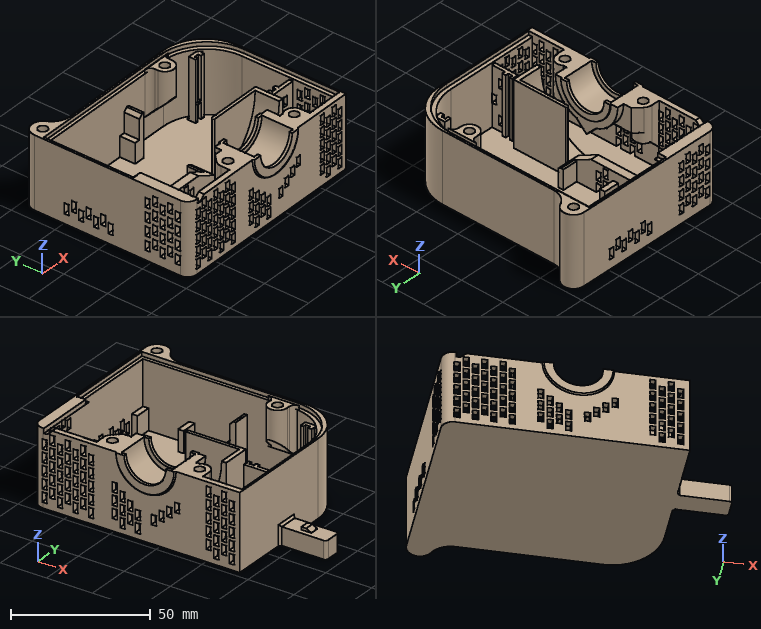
import cadquery as cq
import math

length = 90.0
depth = 68.3
height = 32.7
wall = 2.5
floor = 2.5
front_corner_radius = 4.3
back_corner_radius = 19.0
ledge_corner_radius = 21.0
inside_corner_radius = 20.0
ear_radius = 5.0
ear_y = 71.0
ear_fillet = 8.5
lip_offset = 1.0
right_lip_offset = 0.7
ledge_z = 30.9
left_shelf_width = 4.92
left_shelf_depth = 28.1
left_shelf_front = 26.4
left_shelf_z = 30.7
notch_bottom_width = 1.35
notch_top_width = 3.5
notch_z = 30.6

hole_diameter = 4.05
hole_depth = 10.0
boss_radius = 4.1
web_step_y = 12.55
right_web_y = 9.8
left_boss = (30.25, 6.45)
right_boss = (68.2, 6.4)
back_boss = (63.7, 61.95)
front_boss_z = 16.75
front_boss_wall_z = 12.2
front_web_z = 21.5
back_boss_flare = 2.6
back_boss_wall_z = 12.1

seat_x = 49.25
seat_depth = 15.7
seat_shell_radius = 15.1
seat_keel = 19.1
seat_bore_radius = 11.15
seat_end_radius = 9.05
seat_lip = 0.75
flange_height = 0.59
flange_base_radius = 13.1
flange_top_radius = 12.6
rear_flange_radius = 11.9

pocket_radius = height - floor
pocket_x = 49.7
pocket_end_x = 73.3
pocket_wall = 2.0
partition_x = 47.5
partition_y = 26.7
partition_thickness = 1.4
partition_end_chamfer = 0.6

bay_wall_y = 24.3
bay_wall_thickness = 3.8
bay_wall_z = 15.7
bay_slope_x = 35.7
bay_end_x = 45.2
bay_end_z = 10.9
post_x = (wall, 22.6, 42.7)
post_width = 2.45
post_length = 7.0
post_z = 11.6
stop_width = 2.6
stop_z = 22.1
stop_chamfer = 1.5

guide_x = 76.4
guide_z = 30.0
guide_base = 2.4
guide_foot = 0.75
guide_foot_z = 3.3
prong_length = 1.4
prong_width = 1.3
groove_width = 1.9
far_prong_width = 1.7
front_guide_y = 21.55
back_guide_y = 61.8
groove_stop_z = 10.8
groove_stop_thickness = 1.0

arm_end_x = 110.15
arm_y = 25.3
arm_width = 8.0
arm_z = 7.8
arm_round = 1.2
arm_root = 0.9
catch_x = 97.9
catch_length = 4.3
catch_top_length = 2.1
catch_y = 27.4
catch_width = 3.9
catch_height = 1.2

slot_width = 2.1
slot_height = 4.05
front_pitch_x = 3.365
front_pitch_z = 5.4
front_low_z = floor
left_pitch_z = 6.2
left_low_z = 4.45
left_pitch_y = 3.47
left_stagger_z = 2.1
right_slot_depth = 1.5


def box(x0, x1, y0, y1, z0, z1):
    """Axis-aligned block between opposite corners."""
    return cq.Workplane("XY").box(x1 - x0, y1 - y0, z1 - z0, centered=False).translate((x0, y0, z0))


def prism_along_y(points, y0, y1):
    """Polygon in X, Z extruded from y0 to y1."""
    return cq.Workplane("XZ", origin=(0, y0, 0)).polyline(points).close().extrude(y0 - y1)


def prism_along_x(points, x0, x1):
    """Polygon in Y, Z extruded from x0 to x1."""
    return cq.Workplane("YZ", origin=(x0, 0, 0)).polyline(points).close().extrude(x1 - x0)


def seat_cylinder(radius, y0, y1, top_radius=None):
    """Full cylinder, or cone if a second radius is given, on the bearing axis."""
    start = cq.Workplane("XZ", origin=(seat_x, y0, height)).circle(radius)
    if top_radius is None:
        solid = start.extrude(y0 - y1)
    else:
        solid = start.workplane(offset=y0 - y1).circle(top_radius).loft(ruled=True)
    return solid


def below_top(solid):
    """Trim away everything above the top plane."""
    reach = 2 * length
    return solid.cut(box(-reach, reach, -reach, reach, height, height + reach))


def outer_body():
    """Box with a screw ear at the back left and a large round at the back right."""
    fillet_x = ear_radius + math.sqrt(
        (ear_radius + ear_fillet) ** 2 - (depth + ear_fillet - ear_y) ** 2
    )
    share = ear_radius / (ear_radius + ear_fillet)
    tangent = (
        ear_radius + share * (fillet_x - ear_radius),
        ear_y + share * (depth + ear_fillet - ear_y),
    )
    return (
        cq.Workplane("XY")
        .moveTo(front_corner_radius, 0)
        .lineTo(length, 0)
        .lineTo(length, depth - back_corner_radius)
        .radiusArc((length - back_corner_radius, depth), -back_corner_radius)
        .lineTo(fillet_x, depth)
        .radiusArc(tangent, ear_fillet)
        .threePointArc((ear_radius, ear_y + ear_radius), (0, ear_y))
        .lineTo(0, front_corner_radius)
        .radiusArc((front_corner_radius, 0), -front_corner_radius)
        .close()
        .extrude(height)
    )


def cavity(offset, right_offset, corner_radius, z0):
    """Inside space at given distances from the outer walls, open at the top."""
    right_x = length - right_offset
    back_y = depth - offset
    space = box(offset, right_x, wall, back_y, z0, height)
    round_edge = cq.selectors.NearestToPointSelector((right_x, back_y, (z0 + height) / 2))
    return space.edges(round_edge).fillet(corner_radius)


def shell():
    """Open box with lid ledge, left shelf and corner notch."""
    body = outer_body().cut(cavity(wall, wall, inside_corner_radius, floor))
    body = body.union(box(lip_offset, left_shelf_width, wall, left_shelf_depth, left_shelf_z, height))
    ledge = cavity(lip_offset, right_lip_offset, ledge_corner_radius, ledge_z)
    ledge = ledge.cut(box(0, length / 2, 0, left_shelf_front, ledge_z, height))
    notch = prism_along_y(
        [
            (left_shelf_width, height),
            (left_shelf_width, notch_z),
            (left_shelf_width + notch_bottom_width, notch_z),
            (left_shelf_width + notch_top_width, height),
        ],
        0,
        wall,
    )
    return body.cut(ledge).cut(notch)


def front_boss(centre):
    """Screw boss on the front wall with a 45 degree slope under its root."""
    x, y = centre
    boss = cq.Workplane("XY", origin=(x, y, front_boss_wall_z)).circle(boss_radius)
    boss = boss.extrude(height - front_boss_wall_z)
    root = box(x - boss_radius, x + boss_radius, wall, y, front_boss_wall_z, height)
    rise = front_boss_z - front_boss_wall_z
    back_y = y + boss_radius
    under = prism_along_x(
        [
            (wall, front_boss_wall_z),
            (wall + rise, front_boss_z),
            (back_y, front_boss_z),
            (back_y, front_boss_wall_z),
        ],
        x - boss_radius,
        x + boss_radius,
    )
    return boss.union(root).cut(under)


def front_bosses():
    """Screw bosses on both sides of the bearing seat, each joined to it by a web."""
    left_x, left_y = left_boss
    right_x = right_boss[0]
    diagonal = boss_radius * math.sqrt(0.5)
    step_x = left_x - diagonal + (web_step_y - left_y - diagonal)
    left_web = (
        cq.Workplane("XY", origin=(0, 0, front_web_z))
        .moveTo(left_x - diagonal, left_y + diagonal)
        .lineTo(step_x, web_step_y)
        .lineTo(seat_x, web_step_y)
        .lineTo(seat_x, wall)
        .lineTo(left_x - diagonal, wall)
        .close()
        .extrude(height - front_web_z)
    )
    right_web = box(seat_x, right_x, wall, right_web_y, front_web_z, height)
    return front_boss(left_boss).union(front_boss(right_boss)).union(left_web).union(right_web)


def bearing_seat():
    """Half-round housing with a V-shaped underside and a flange on each end."""
    keel_half_width = (seat_keel - math.sqrt(2 * seat_shell_radius**2 - seat_keel**2)) / 2
    keel_top = height - seat_keel + keel_half_width
    keel = prism_along_y(
        [
            (seat_x - keel_half_width, keel_top),
            (seat_x, height - seat_keel),
            (seat_x + keel_half_width, keel_top),
        ],
        0,
        seat_depth,
    )
    seat = seat_cylinder(seat_shell_radius, 0, seat_depth).union(keel)
    seat = seat.union(seat_cylinder(flange_base_radius, 0, -flange_height, flange_top_radius))
    seat = seat.union(seat_cylinder(rear_flange_radius, seat_depth, seat_depth + flange_height))
    return below_top(seat)


def seat_bore():
    """Bearing space with a smaller opening at each end."""
    opening = seat_cylinder(seat_end_radius, -flange_height, seat_depth + flange_height)
    return opening.union(seat_cylinder(seat_bore_radius, seat_lip, seat_depth - seat_lip))


def gear_pocket():
    """Partition and quarter-round wall behind the bearing seat."""
    axis_x = pocket_end_x - pocket_wall - pocket_radius
    fill = box(pocket_x, pocket_end_x, seat_depth, partition_y, floor, height)
    swept = cq.Workplane("XZ", origin=(axis_x, seat_depth, height)).circle(pocket_radius)
    fill = fill.cut(swept.extrude(seat_depth - partition_y))
    back_y = partition_y + partition_thickness
    partition = box(partition_x, pocket_end_x, partition_y, back_y, floor, height)
    partition = partition.edges("|Z and <X").chamfer(partition_end_chamfer)
    return fill.union(partition)


def back_screw_boss():
    """Flared screw boss on the back wall with a 45 degree underside."""
    x, y = back_boss
    wall_y = depth - wall
    flare_y = wall_y - back_boss_flare
    boss = (
        cq.Workplane("XY", origin=(0, 0, floor))
        .moveTo(x - boss_radius - back_boss_flare, wall_y)
        .radiusArc((x - boss_radius, flare_y), back_boss_flare)
        .lineTo(x - boss_radius, y)
        .threePointArc((x, y - boss_radius), (x + boss_radius, y))
        .lineTo(x + boss_radius, flare_y)
        .radiusArc((x + boss_radius + back_boss_flare, wall_y), back_boss_flare)
        .close()
        .extrude(height - floor)
    )
    reach = wall_y - y + boss_radius
    under = prism_along_x(
        [
            (wall_y, floor),
            (wall_y, back_boss_wall_z),
            (wall_y - reach, back_boss_wall_z + reach),
            (wall_y - reach, floor),
        ],
        x - 2 * boss_radius,
        x + 2 * boss_radius,
    )
    return boss.cut(under)


def battery_bay():
    """Bay wall, six low posts and one tall stop; the wall end slopes down."""
    bay_back = bay_wall_y + bay_wall_thickness
    bay = box(wall, bay_end_x, bay_wall_y, bay_back, floor, bay_wall_z)
    for x in post_x:
        for y in (bay_back, depth - wall - post_length):
            bay = bay.union(box(x, x + post_width, y, y + post_length, floor, post_z))
    slope = prism_along_y(
        [(bay_slope_x, bay_wall_z), (bay_end_x, bay_end_z), (bay_end_x, bay_wall_z)],
        bay_wall_y,
        bay_back + post_length,
    )
    stop_x = post_x[-1] + post_width
    stop = prism_along_y(
        [
            (stop_x, floor),
            (stop_x, stop_z - stop_chamfer),
            (stop_x + stop_chamfer, stop_z),
            (stop_x + stop_width, stop_z),
            (stop_x + stop_width, floor),
        ],
        depth - wall - post_length,
        depth - wall,
    )
    return bay.cut(slope).union(stop)


def board_guide(outer_y, direction):
    """Footed plate on the right wall with a groove facing the given Y direction."""
    inner_y = outer_y + direction * guide_base
    tip_y = inner_y + direction * prong_length
    plate = prism_along_x(
        [
            (outer_y, floor),
            (outer_y, guide_foot_z),
            (outer_y + direction * guide_foot, guide_foot_z),
            (outer_y + direction * guide_foot, guide_z),
            (inner_y, guide_z),
            (inner_y, floor),
        ],
        guide_x,
        length - wall / 2,
    )
    low_y = min(inner_y, tip_y)
    high_y = max(inner_y, tip_y)
    groove_x = guide_x + prong_width
    far_x = groove_x + groove_width
    near_prong = box(guide_x, groove_x, low_y, high_y, floor, guide_z)
    far_prong = box(far_x, far_x + far_prong_width, low_y, high_y, floor, guide_z)
    return plate.union(near_prong).union(far_prong)


def board_guides():
    """Facing pair of guides trimmed to the box; the back groove has a stop."""
    guides = board_guide(front_guide_y, 1).union(board_guide(back_guide_y, -1))
    groove_x = guide_x + prong_width
    inner_y = back_guide_y - guide_base
    stop_bottom = groove_stop_z - groove_stop_thickness
    stop = box(groove_x, groove_x + groove_width, inner_y - prong_length, inner_y, stop_bottom, groove_stop_z)
    return guides.union(stop).intersect(outer_body())


def side_arm():
    """Arm on the right side with a flared root and a ramped catch."""
    middle_y = arm_y + arm_width / 2
    arm = box(length, arm_end_x, arm_y, arm_y + arm_width, 0, arm_z)
    arm = arm.edges("|Z and >X").fillet(arm_round)
    root = (
        cq.Workplane("YZ", origin=(length, middle_y, 0))
        .rect(arm_width + 2 * arm_root, 2 * (arm_z + arm_root))
        .workplane(offset=arm_root)
        .rect(arm_width, 2 * arm_z)
        .loft(ruled=True)
        .intersect(box(length, arm_end_x, 0, depth, 0, height))
    )
    catch = prism_along_y(
        [
            (catch_x, arm_z),
            (catch_x, arm_z + catch_height),
            (catch_x + catch_top_length, arm_z + catch_height),
            (catch_x + catch_length, arm_z),
        ],
        catch_y,
        catch_y + catch_width,
    )
    return arm.union(root).union(catch)


def front_slot(x, half_rows, y0=0, y1=wall):
    """Slot cutter through a Y range, a number of half rows above the lowest row."""
    z = front_low_z + half_rows * front_pitch_z / 2
    return box(x, x + slot_width, y0, y1, z, z + slot_height)


def front_slots():
    """Staggered slot fields at both ends and a V-shaped field under the seat."""
    left_x = 4.1
    right_x = 75.4
    middle_left_x = 34.6
    middle_right_x = 51.6
    fields = (
        [(left_x, column, column % 2, 5) for column in range(7)]
        + [(right_x, column, 1 - column % 2, 5) for column in range(4)]
        + [(middle_left_x, 0, 1, 3), (middle_left_x, 1, 0, 3)]
        + [(middle_left_x, 2, 1, 2), (middle_left_x, 3, 0, 2)]
        + [(middle_right_x, column, column + 2, 1) for column in range(4)]
    )
    cutters = []
    for start_x, column, first_half_row, rows in fields:
        for row in range(rows):
            cutters.append(front_slot(start_x + column * front_pitch_x, first_half_row + 2 * row))
    for column, half_row in ((2, 1), (2, 7), (3, 4)):
        slot_x = right_x + column * front_pitch_x
        cutters.append(front_slot(slot_x, half_row, front_guide_y, front_guide_y + guide_base))
    for column, half_rows in ((7, (1, 3)), (8, (0, 2))):
        slot_x = left_x + column * front_pitch_x
        for half_row in half_rows:
            cutters.append(front_slot(slot_x, half_row, bay_wall_y, bay_wall_y + bay_wall_thickness))
    return cutters


def side_slots():
    """Left wall slots; the field near the front is repeated blind inside the right wall."""
    near_y = 4.3
    right_inside = length - wall
    right_end = right_inside + right_slot_depth
    row_y = 35.0
    row_height = 4.6
    zigzag = 2.4
    cutters = []
    for column in range(5):
        y = near_y + column * left_pitch_y
        for row in range(4):
            z = left_low_z + row * left_pitch_z + (column % 2) * left_stagger_z
            cutters.append(box(0, wall, y, y + slot_width, z, z + slot_height))
            cutters.append(box(right_inside, right_end, y, y + slot_width, z, z + slot_height))
    for column in range(7):
        y = row_y + column * front_pitch_x
        z = left_low_z + (column % 2) * zigzag
        cutters.append(box(0, wall, y, y + slot_width, z, z + row_height))
    return cutters


def screw_holes():
    """Blind holes from the top in the ear and the three bosses."""
    centres = [(ear_radius, ear_y), left_boss, right_boss, back_boss]
    plane = cq.Workplane("XY", origin=(0, 0, height - hole_depth))
    return plane.pushPoints(centres).circle(hole_diameter / 2).extrude(hole_depth)


def slot_cutters():
    """All ventilation slots as one compound."""
    solids = [cutter.val() for cutter in front_slots() + side_slots()]
    return cq.Workplane(cq.Compound.makeCompound(solids))


result = shell()
for feature in (
    battery_bay(),
    gear_pocket(),
    board_guides(),
    front_bosses(),
    bearing_seat(),
    back_screw_boss(),
    side_arm(),
):
    result = result.union(feature)
result = result.cut(seat_bore()).cut(screw_holes()).cut(slot_cutters())